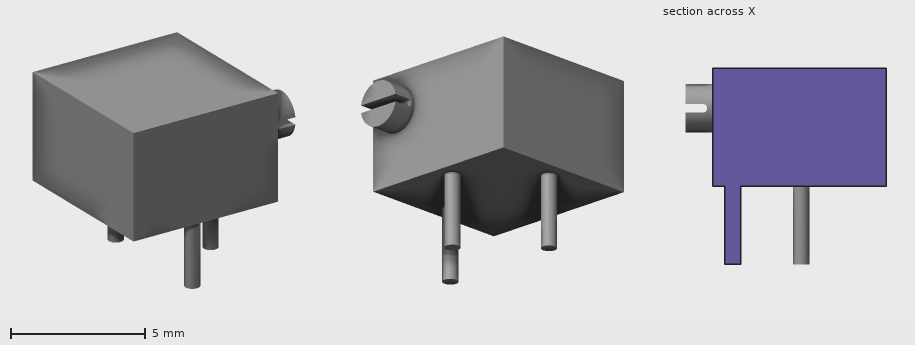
import cadquery as cq

body_width = 6.71
body_depth = 6.495
body_height = 4.425

pin_diameter = 0.61
pin_length = 2.895
pin_pitch = 2.54
back_row_inset = 0.765

screw_diameter = 1.8
screw_length = 7.5 - body_depth
screw_side_inset = 1.22
screw_top_inset = 1.51
slot_width = 0.3
slot_depth = 0.8
slot_corner_radius = 0.11

embed = 0.075

back_face = body_depth / 2
back_row_y = back_face - back_row_inset
front_row_y = back_row_y - pin_pitch


def make_body():
    return cq.Workplane("XY").box(body_width, body_depth, body_height, centered=(True, True, False))


def make_pins():
    centers = [(-pin_pitch, front_row_y), (0, back_row_y), (pin_pitch, front_row_y)]
    return (
        cq.Workplane("XY")
        .workplane(offset=-pin_length)
        .pushPoints(centers)
        .circle(pin_diameter / 2)
        .extrude(pin_length + embed)
    )


def make_screw():
    center_x = body_width / 2 - screw_side_inset
    center_z = body_height - screw_top_inset
    tip_y = back_face + screw_length
    shank = (
        cq.Workplane("XZ", origin=(center_x, tip_y, center_z))
        .circle(screw_diameter / 2)
        .extrude(screw_length + embed)
    )
    slot = (
        cq.Workplane("XY")
        .box(screw_diameter, slot_depth, slot_width)
        .edges("<Y and |X")
        .fillet(slot_corner_radius)
        .translate((center_x, tip_y - slot_depth / 2, center_z))
    )
    return shank.cut(slot)


result = make_body().union(make_pins()).union(make_screw())